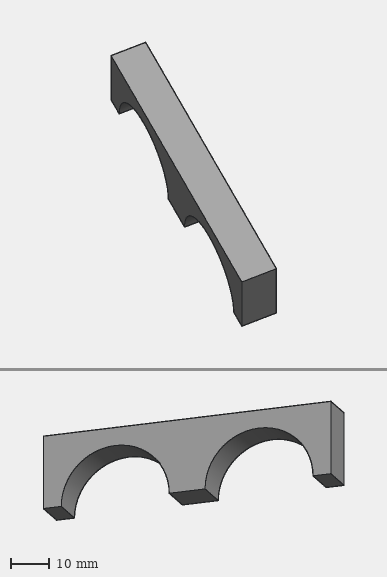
import cadquery as cq

arch_count = 2
arch_radius = 15.0
end_leg_width = 5.0
crown_thickness = 5.0
depth = 10.0

bay_length = 2 * (arch_radius + end_leg_width)
length = arch_count * bay_length
height = arch_radius + crown_thickness


def make_block():
    """Solid bar centred in X and Y, standing on Z = 0."""
    return cq.Workplane("XY").box(length, depth, height, centered=(True, True, False))


def make_arch_cutter(center_x):
    """Cylinder along Y with its axis on the bottom face."""
    back_face = cq.Workplane("XZ", origin=(center_x, depth / 2, 0))
    return back_face.circle(arch_radius).extrude(depth)


result = make_block()
for bay in range(arch_count):
    arch_center_x = (bay + 0.5) * bay_length - length / 2
    result = result.cut(make_arch_cutter(arch_center_x))